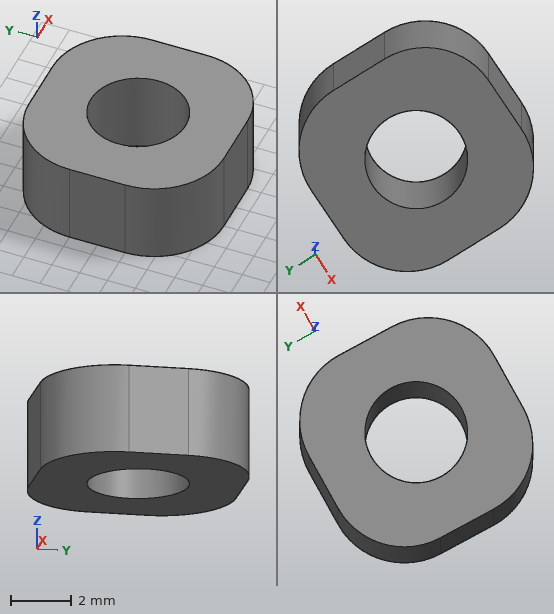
import cadquery as cq

side = 7.0
thickness = 3.0
corner_radius = 2.5
bore_diameter = 3.4

block = cq.Workplane("XY").box(side, side, thickness)
rounded_block = block.edges("|Z").fillet(corner_radius)

result = rounded_block.faces(">Z").workplane().hole(bore_diameter)